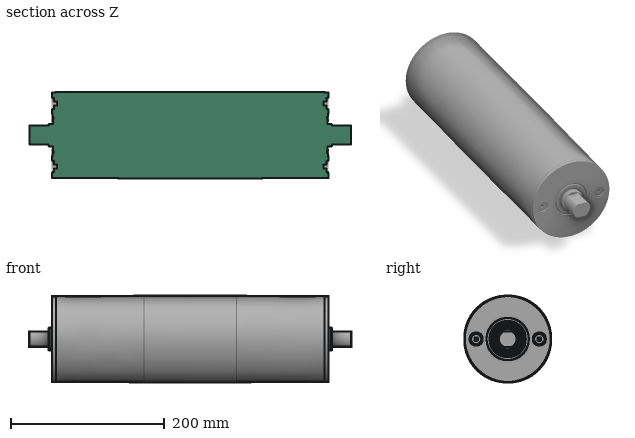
import cadquery as cq

overall_length = 420.0
barrel_length = 360.5
collar_length = 4.5
cap_length = 5.0
section_count = 3

middle_diameter = 113.5
taper_end_diameter = 112.5
cap_diameter = 112.0

shaft_diameter = 25.0
shaft_flat_width = 20.0
shaft_chamfer = 1.0
collar_diameter = 30.0
collar_chamfer = 1.3

seat_steps = [(55.0, 0.5), (38.0, 1.0), (34.0, 1.3)]

groove_outer_diameter = 47.0
groove_inner_diameter = 42.0
groove_depth = 1.3

screw_offset = 41.0
screw_steps = [(17.0, 0.5), (14.0, 2.0), (4.5, 6.5)]

axis_start = (0, 0)
axis_end = (1, 0)

shaft_end = overall_length / 2
cap_face = barrel_length / 2
cap_joint = cap_face - cap_length
middle_end = barrel_length / section_count / 2
collar_face = cap_face + collar_length


def cylinder(diameter, x_start, x_end, y=0.0):
    """Cylinder parallel to X between two X places."""
    return cq.Workplane("YZ", origin=(x_start, y, 0)).circle(diameter / 2).extrude(x_end - x_start)


def make_barrel():
    """Straight middle, tapered ends and caps, turned about X in one piece."""
    middle_radius = middle_diameter / 2
    taper_end_radius = taper_end_diameter / 2
    cap_radius = cap_diameter / 2
    half_outline = [
        (middle_end, middle_radius),
        (cap_joint, taper_end_radius),
        (cap_joint, cap_radius),
        (cap_face, cap_radius),
        (cap_face, 0),
    ]
    mirrored_outline = [(-x, radius) for x, radius in reversed(half_outline)]
    outline = cq.Workplane("XY").polyline(mirrored_outline + half_outline).close()
    return outline.revolve(360, axis_start, axis_end)


def make_bearing_seat_cutter():
    """Stepped seat and its round-bottomed groove, for the +X cap."""
    cutter = cq.Workplane("XY")
    for diameter, depth in seat_steps:
        cutter = cutter.union(cylinder(diameter, cap_face - depth, cap_face))
    groove_top = cap_face - seat_steps[0][1]
    outer_radius = groove_outer_diameter / 2
    inner_radius = groove_inner_diameter / 2
    groove_bottom = (groove_top - groove_depth, (outer_radius + inner_radius) / 2)
    groove_outline = (
        cq.Workplane("XY")
        .moveTo(groove_top, outer_radius)
        .threePointArc(groove_bottom, (groove_top, inner_radius))
        .close()
    )
    groove = groove_outline.revolve(360, axis_start, axis_end)
    return cutter.union(groove)


def make_screw_cutter():
    """Stepped holes of both screws, for the +X cap."""
    cutter = cq.Workplane("XY")
    for y in (-screw_offset, screw_offset):
        for diameter, depth in screw_steps:
            cutter = cutter.union(cylinder(diameter, cap_face - depth, cap_face, y))
    return cutter


def make_shaft_end():
    """Chamfered collar and shaft end of the +X side, flattened above and below."""
    collar = cylinder(collar_diameter, 0, collar_face).faces(">X").chamfer(collar_chamfer)
    flats = cq.Workplane("XY").box(overall_length, shaft_diameter, shaft_flat_width)
    shaft = cylinder(shaft_diameter, 0, shaft_end).faces(">X").chamfer(shaft_chamfer)
    return collar.union(shaft.intersect(flats))


result = make_barrel()
end_cutter = make_bearing_seat_cutter().union(make_screw_cutter())
shaft_stub = make_shaft_end()
for cutter, stub in (
    (end_cutter, shaft_stub),
    (end_cutter.mirror("YZ"), shaft_stub.mirror("YZ")),
):
    result = result.cut(cutter).union(stub)